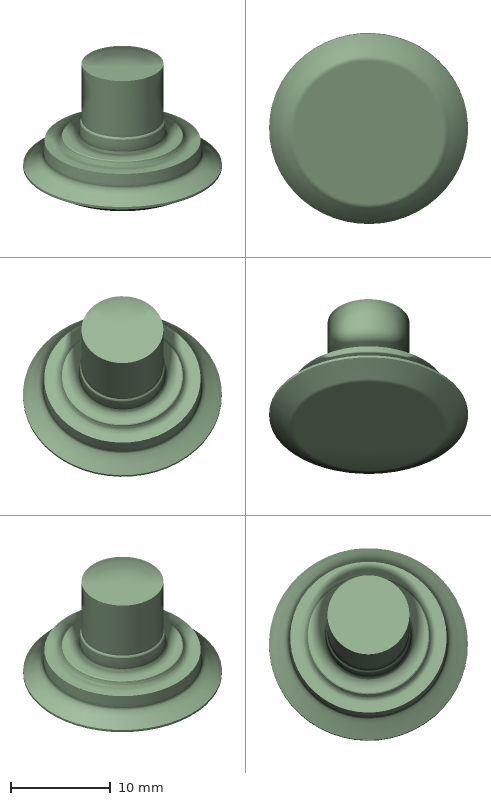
import cadquery as cq
import math

rim_radius = 9.97
rim_bottom = 1.3
rim_top = 1.55
cone_angle = math.radians(30)
bottom_edge_round = 0.8

ring_base_radius = 7.95
ring_top_radius = 7.84
ring_top = 4.2
ring_foot_fillet = 0.15

step_foot_radius = 6.6
flare_top_radius = 6.25
flare_top = 4.39
flare_sag = 0.04
step_wall_radius = 6.15
step_wall_bottom = 4.57
step_edge_radius = 6.08
step_top_radius = 5.98
step_edge = 4.75
step_top = 4.8

collar_foot_radius = 4.55
collar_base_radius = 4.33
collar_base = 5.0
collar_shoulder_radius = 4.27
collar_shoulder = 6.3
collar_top = 6.5
collar_round_bulge = 0.02

post_radius = 4.1
post_top = 12.75
socket_floor = step_top

bottom_radius = rim_radius - rim_bottom / math.tan(cone_angle)
upper_cone_top = rim_top + (rim_radius - ring_base_radius) * math.tan(cone_angle)


def bowed_middle(start, end, bow):
    """Point beside the middle of a chord; a positive bow lies to the left of its direction."""
    run = end[0] - start[0]
    rise = end[1] - start[1]
    length = math.hypot(run, rise)
    middle_radius = (start[0] + end[0]) / 2 - bow * rise / length
    middle_height = (start[1] + end[1]) / 2 + bow * run / length
    return middle_radius, middle_height


def revolve(profile):
    """Turn a closed radius-height profile about the Z axis."""
    return profile.revolve(360, (0, 0, 0), (0, 1, 0))


def flange_and_ring():
    profile = (
        cq.Workplane("XZ")
        .lineTo(bottom_radius, 0)
        .lineTo(rim_radius, rim_bottom)
        .lineTo(rim_radius, rim_top)
        .lineTo(ring_base_radius, upper_cone_top)
        .lineTo(ring_top_radius, ring_top)
        .lineTo(0, ring_top)
        .close()
    )
    solid = revolve(profile)
    solid = solid.faces("<Z").edges().fillet(bottom_edge_round)
    ring_foot = cq.selectors.BoxSelector(
        (-rim_radius, -rim_radius, upper_cone_top - ring_foot_fillet),
        (rim_radius, rim_radius, upper_cone_top + ring_foot_fillet),
        boundingbox=True,
    )
    return solid.edges("%CIRCLE").edges(ring_foot).fillet(ring_foot_fillet)


def step_and_collar():
    step_foot = (step_foot_radius, ring_top)
    flare_end = (flare_top_radius, flare_top)
    collar_foot = (collar_foot_radius, step_top)
    collar_wall_start = (collar_base_radius, collar_base)
    collar_wall_end = (collar_shoulder_radius, collar_shoulder)
    collar_lip = (post_radius, collar_top)
    profile = (
        cq.Workplane("XZ")
        .moveTo(0, ring_top)
        .lineTo(*step_foot)
        .threePointArc(bowed_middle(step_foot, flare_end, flare_sag), flare_end)
        .lineTo(step_wall_radius, step_wall_bottom)
        .lineTo(step_edge_radius, step_edge)
        .lineTo(step_top_radius, step_top)
        .lineTo(*collar_foot)
        .threePointArc(bowed_middle(collar_foot, collar_wall_start, collar_round_bulge), collar_wall_start)
        .lineTo(*collar_wall_end)
        .threePointArc(bowed_middle(collar_wall_end, collar_lip, -collar_round_bulge), collar_lip)
        .lineTo(0, collar_top)
        .close()
    )
    return revolve(profile)


def make_post():
    return cq.Workplane("XY", origin=(0, 0, socket_floor)).circle(post_radius).extrude(post_top - socket_floor)


def make_base():
    """Flange, ring, step and collar as one solid, with a blind socket for the post."""
    return flange_and_ring().union(step_and_collar()).cut(make_post())


base = make_base()
post = make_post()

result = cq.Compound.makeCompound([base.solids().val(), post.val()])